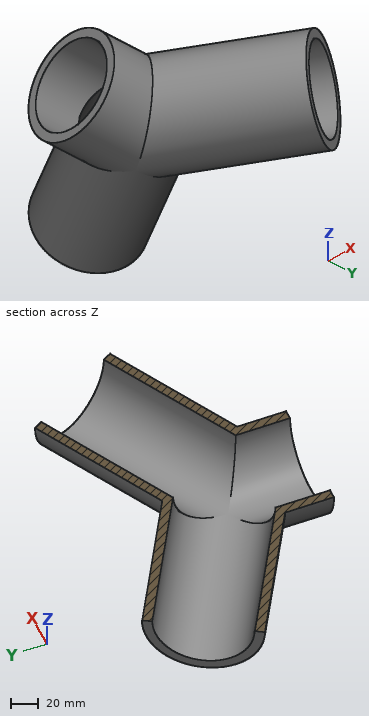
import cadquery as cq
import math

overall_width = 286.5
overall_depth = 171.9
outer_diameter = 88.8
bore_diameter = 73.5
arm_angle = 30.0

outer_radius = outer_diameter / 2
cos_arm = math.cos(math.radians(arm_angle))
sin_arm = math.sin(math.radians(arm_angle))
arm_length = (overall_width / 2 - outer_radius * sin_arm) / cos_arm
arm_reach_y = arm_length * sin_arm + outer_radius * cos_arm
stem_length = overall_depth - arm_reach_y

branches = [
    (arm_angle, arm_length),
    (180 - arm_angle, arm_length),
    (-90, stem_length),
]


def branch_cylinder(diameter, angle, length):
    """Cylinder lying in the XY plane, from the origin at the given angle from +X."""
    cylinder = cq.Workplane("YZ").circle(diameter / 2).extrude(length)
    return cylinder.rotate((0, 0, 0), (0, 0, 1), angle)


def joined_branches(diameter):
    """Union of the three branch cylinders, meeting in mitred seams."""
    body = cq.Workplane("XY")
    for angle, length in branches:
        body = body.add(branch_cylinder(diameter, angle, length))
    return body.combine()


result = joined_branches(outer_diameter).cut(joined_branches(bore_diameter))